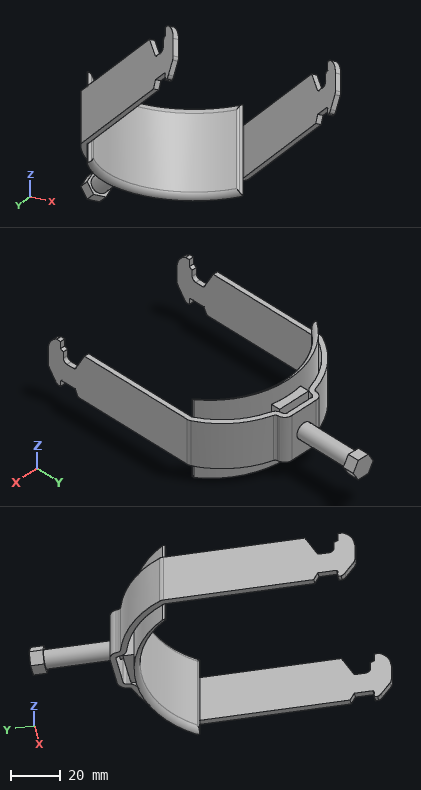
import cadquery as cq
import math


sheet = 2.5
strap_half_width = 38.0
strap_height = 23.1
strap_mid_z = -0.5
leg_length = 78.0
crown_y = 28.2
crown_half_flat = 6.9
neck_flat = 0.8
bend_inner = 1.5
bend_outer = bend_inner + sheet
shoulder_centre_y = -17.7

hook_root = -71.0
upper_ramp_start = -57.7
upper_ramp_end = -62.6
upper_floor_start = -63.6
upper_floor = 1.9
ramp_blend = 1.2
ramp_blend_rise = 0.6
upper_notch_end = -69.4
notch_fillet = 2.0
step_mid = 7.5
step_rise = 0.8
nose_start = -73.1
nose_radius = 8.4
tip_top = 4.0
tip_bottom = -3.6
chin_top = (-77.5, -5.3)
chin_bottom = (-73.9, -10.4)
chin_blend = 3.0
barb_flat_end = -72.4
barb_radius = 2.5
corner_break = 0.5
lower_floor = -8.2
lower_ramp_end = -62.9
lower_ramp_start = -61.2

bolt_diameter = 8.0
bolt_mid_z = -0.6
head_flats = 10.0
head_height = 5.6
head_top_y = 61.5

cradle_height = 40.0
cradle_half_width = 35.1
cradle_crown_y = 18.9
cradle_outer_radius = 43.4
cradle_thickness = 2.4
cradle_rim_radius = 2.9
cradle_end_radius = 1.4
cradle_centre_y = cradle_crown_y - cradle_outer_radius

nut_width = 16.5
nut_height = 23.8
nut_top_y = 22.7


def on_circle(centre, radius, angle):
    """Point on a circle, with the angle in radians from +X."""
    return (centre[0] + radius * math.cos(angle), centre[1] + radius * math.sin(angle))


def facing_y(y, z):
    """Workplane whose extrusions run towards +Y."""
    return cq.Workplane(cq.Plane(origin=(0, y, z), xDir=(1, 0, 0), normal=(0, 1, 0)))


def bolt_rod(start_y, end_y):
    """Cylinder of the bolt's diameter on the bolt axis, for the shank and its holes."""
    return facing_y(start_y, bolt_mid_z).circle(bolt_diameter / 2).extrude(end_y - start_y)


def cradle_cylinder(radius, height):
    """Upright cylinder about the axis of the cradle's curve, centred on Z = 0."""
    return (
        cq.Workplane("XY", origin=(0, cradle_centre_y, -height / 2))
        .circle(radius)
        .extrude(height)
    )



def strap_half_profile():
    """Sheet section of the +X half, bent crown to leg with tangent arcs."""
    arc_centre = (0, shoulder_centre_y)
    hip_centre = (strap_half_width - bend_outer, 0)
    crown_centre = (crown_half_flat, crown_y - bend_outer)

    hip_angle = math.atan2(-shoulder_centre_y, hip_centre[0])
    arc_outer = math.hypot(hip_centre[0], shoulder_centre_y) + bend_outer
    arc_inner = arc_outer - sheet

    neck_reach = arc_outer + bend_inner
    bend_spacing = math.hypot(bend_inner + bend_outer, neck_flat)
    crown_reach = math.dist(arc_centre, crown_centre)
    crown_angle = math.atan2(crown_centre[1] - arc_centre[1], crown_centre[0])
    offset_cosine = (neck_reach**2 + crown_reach**2 - bend_spacing**2) / (2 * neck_reach * crown_reach)
    neck_angle = crown_angle - math.acos(offset_cosine)
    neck_centre = on_circle(arc_centre, neck_reach, neck_angle)
    centres_angle = math.atan2(neck_centre[1] - crown_centre[1], neck_centre[0] - crown_centre[0])
    joint_angle = centres_angle + math.atan(neck_flat / (bend_inner + bend_outer))

    crown_mid = (joint_angle + math.pi / 2) / 2
    neck_mid = (joint_angle + neck_angle) / 2 + math.pi
    shoulder_mid = (neck_angle + hip_angle) / 2
    leg_inner = strap_half_width - sheet
    crown_under = crown_y - sheet
    return (
        cq.Workplane("XY")
        .moveTo(0, crown_y)
        .lineTo(crown_half_flat, crown_y)
        .threePointArc(on_circle(crown_centre, bend_outer, crown_mid),
                       on_circle(crown_centre, bend_outer, joint_angle))
        .lineTo(*on_circle(neck_centre, bend_inner, joint_angle + math.pi))
        .threePointArc(on_circle(neck_centre, bend_inner, neck_mid),
                       on_circle(arc_centre, arc_outer, neck_angle))
        .threePointArc(on_circle(arc_centre, arc_outer, shoulder_mid),
                       on_circle(arc_centre, arc_outer, hip_angle))
        .threePointArc(on_circle(hip_centre, bend_outer, hip_angle / 2), (strap_half_width, 0))
        .lineTo(strap_half_width, -leg_length)
        .lineTo(leg_inner, -leg_length)
        .lineTo(leg_inner, 0)
        .threePointArc(on_circle(hip_centre, bend_inner, hip_angle / 2),
                       on_circle(arc_centre, arc_inner, hip_angle))
        .threePointArc(on_circle(arc_centre, arc_inner, shoulder_mid),
                       on_circle(arc_centre, arc_inner, neck_angle))
        .threePointArc(on_circle(neck_centre, bend_outer, neck_mid),
                       on_circle(neck_centre, bend_outer, joint_angle + math.pi))
        .lineTo(*on_circle(crown_centre, bend_inner, joint_angle))
        .threePointArc(on_circle(crown_centre, bend_inner, crown_mid), (crown_half_flat, crown_under))
        .lineTo(0, crown_under)
        .close()
    )


def strap_side_outline():
    """Block across both legs with the strap's (Y, Z) outline and its hooked end."""
    half = strap_height / 2
    outline = (
        cq.Workplane("YZ", origin=(-strap_half_width, 0, strap_mid_z))
        .moveTo(crown_y, half)
        .lineTo(upper_ramp_start, half)
        .lineTo(upper_ramp_end, upper_floor + ramp_blend_rise)
        .radiusArc((upper_floor_start, upper_floor), ramp_blend)
        .lineTo(upper_notch_end + notch_fillet, upper_floor)
        .radiusArc((upper_notch_end, upper_floor + notch_fillet), notch_fillet)
        .lineTo(upper_notch_end, step_mid - step_rise / 2)
        .lineTo(hook_root, step_mid + step_rise / 2)
        .lineTo(hook_root, half)
        .lineTo(nose_start, half)
        .radiusArc((-leg_length, tip_top), -nose_radius)
        .lineTo(-leg_length, tip_bottom)
        .radiusArc(chin_top, -chin_blend)
        .lineTo(*chin_bottom)
        .radiusArc((barb_flat_end, -half), -barb_radius)
        .lineTo(hook_root, -half)
        .lineTo(hook_root, lower_floor - corner_break)
        .lineTo(hook_root + corner_break, lower_floor)
        .lineTo(lower_ramp_end, lower_floor)
        .lineTo(lower_ramp_start, -half)
        .lineTo(crown_y, -half)
        .close()
    )
    return outline.extrude(2 * strap_half_width)


def make_strap():
    """Bent strap cut to the hooked outline, with a bolt hole through the crown."""
    half = strap_half_profile().extrude(strap_height)
    band = half.union(half.mirror("YZ")).translate((0, 0, strap_mid_z - strap_height / 2))
    return band.intersect(strap_side_outline()).cut(bolt_rod(nut_top_y, crown_y))



def make_cradle():
    """Curved plate with its inner rims rounded, trimmed to fit between the legs."""
    half = cradle_height / 2
    inner = cradle_outer_radius - cradle_thickness
    rim_z = half - cradle_rim_radius
    ring = (
        cq.Workplane("XZ")
        .moveTo(cradle_outer_radius, -half)
        .lineTo(cradle_outer_radius, half)
        .radiusArc((inner, rim_z), -cradle_rim_radius)
        .lineTo(inner, -rim_z)
        .radiusArc((cradle_outer_radius, -half), -cradle_rim_radius)
        .close()
        .revolve(360, (0, 0), (0, 1))
        .translate((0, cradle_centre_y, 0))
    )
    envelope = (
        cq.Workplane("XY")
        .box(2 * cradle_half_width, cradle_crown_y, cradle_height, centered=(True, False, True))
        .cut(cradle_cylinder(inner, cradle_height))
    )
    inner_end_edges = "(not(<X or >X)) and |Z"
    return ring.intersect(envelope.edges(inner_end_edges).fillet(cradle_end_radius))



def make_bolt():
    """Hex bolt whose shank passes the strap and nut and bears on the cradle crown."""
    head_bottom_y = head_top_y - head_height
    shank = bolt_rod(cradle_crown_y, head_bottom_y)
    across_corners = head_flats / math.cos(math.pi / 6)
    head = facing_y(head_bottom_y, bolt_mid_z).polygon(6, across_corners).extrude(head_height)
    return shank.union(head)


def make_nut():
    """Flat plate whose underside is seated on the cradle's outer curve."""
    seat_edge_drop = cradle_outer_radius - math.sqrt(cradle_outer_radius**2 - (nut_width / 2)**2)
    bottom_y = cradle_crown_y - seat_edge_drop
    plate = (
        cq.Workplane("XY", origin=(0, bottom_y, 0))
        .box(nut_width, nut_top_y - bottom_y, nut_height, centered=(True, False, True))
    )
    seat = cradle_cylinder(cradle_outer_radius, nut_height)
    return plate.cut(seat).cut(bolt_rod(bottom_y, nut_top_y))


strap = make_strap()
cradle = make_cradle()
bolt = make_bolt()
nut = make_nut()

result = cq.Compound.makeCompound([strap.val(), cradle.val(), bolt.val(), nut.val()])